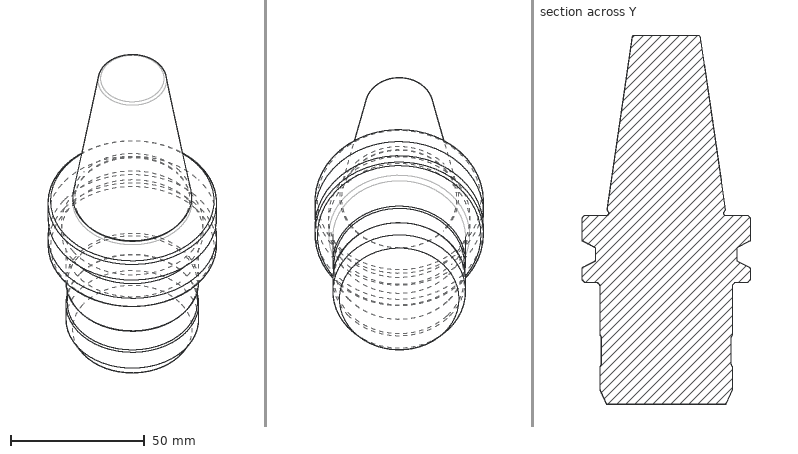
import cadquery as cq

total_height = 137.9
flange_bottom = 45.5
flange_top = 70.6
taper_bottom = 72.7

body_radius = 24.8
nose_radius = 22.3
nose_chamfer_height = 5.4
band_depth = 0.48
band_step_height = 0.8
band_bottom = 14.5
band_top = 25.5
body_fillet = 1.5

flange_diameter = 63.0
flange_radius = flange_diameter / 2
flange_chamfer = 1.0
gripper_radius = 26.5
gripper_bottom = 53.6
gripper_top = 58.5
gripper_side_height = 2.6

taper_large_radius = 22.2
taper_slope = 7 / 48
taper_small_radius = taper_large_radius - taper_slope * (total_height - taper_bottom)
top_fillet = 1.0
neck_depth = 0.7
neck_chamfer_height = 1.1
neck_fillet = 0.8


def revolve(profile):
    """Revolve a closed radius-height profile around the Z axis."""
    return profile.close().revolve(360, (0, 0, 0), (0, 1, 0))


def make_nose():
    band_radius = body_radius - band_depth
    half_step = band_step_height / 2
    profile = (
        cq.Workplane("XZ")
        .lineTo(nose_radius, 0)
        .lineTo(body_radius, nose_chamfer_height)
        .lineTo(body_radius, band_bottom - half_step)
        .lineTo(band_radius, band_bottom + half_step)
        .lineTo(band_radius, band_top - half_step)
        .lineTo(body_radius, band_top + half_step)
        .lineTo(body_radius, flange_bottom - body_fillet)
        .radiusArc((body_radius + body_fillet, flange_bottom), body_fillet)
        .lineTo(0, flange_bottom)
    )
    return revolve(profile)


def make_flange():
    chamfered_radius = flange_radius - flange_chamfer
    profile = (
        cq.Workplane("XZ")
        .moveTo(0, flange_bottom)
        .lineTo(chamfered_radius, flange_bottom)
        .lineTo(flange_radius, flange_bottom + flange_chamfer)
        .lineTo(flange_radius, gripper_bottom - gripper_side_height)
        .lineTo(gripper_radius, gripper_bottom)
        .lineTo(gripper_radius, gripper_top)
        .lineTo(flange_radius, gripper_top + gripper_side_height)
        .lineTo(flange_radius, flange_top - flange_chamfer)
        .lineTo(chamfered_radius, flange_top)
        .lineTo(0, flange_top)
    )
    return revolve(profile)


def make_shank():
    neck_radius = taper_large_radius - neck_depth
    profile = (
        cq.Workplane("XZ")
        .moveTo(0, flange_top)
        .lineTo(neck_radius + neck_fillet, flange_top)
        .radiusArc((neck_radius, flange_top + neck_fillet), neck_fillet)
        .lineTo(neck_radius, taper_bottom - neck_chamfer_height)
        .lineTo(taper_large_radius, taper_bottom)
        .lineTo(taper_small_radius, total_height)
        .lineTo(0, total_height)
    )
    return revolve(profile).faces(">Z").edges().fillet(top_fillet)


result = make_nose().union(make_flange()).union(make_shank())